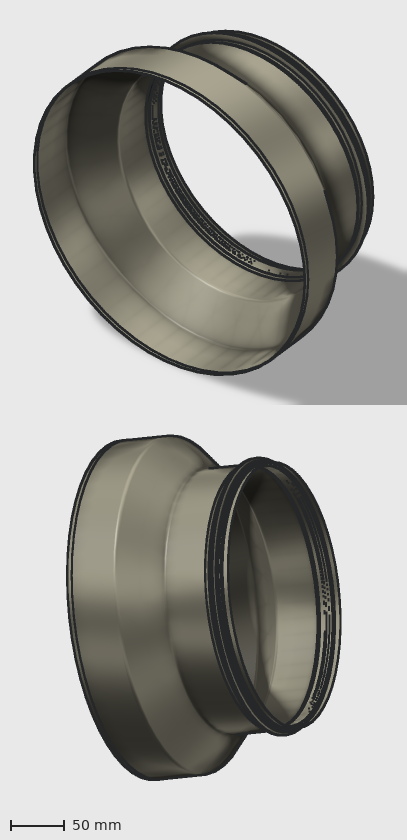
import cadquery as cq
import math

LENGTH = 149.0
WALL = 0.48
MOUTH_DIAMETER = 317.5
CUP_DIAMETER = 317.0
NECK_DIAMETER = 249.0
GROOVE_DIAMETER = 244.0
HEM_LENGTH = 4.8
CONE_ANGLE = math.radians(45)
BEND_RADIUS = 4.8

GROOVE_START = 5.7
GROOVE_FLOOR_START = 7.0
GROOVE_FLOOR_END = 21.0
GROOVE_END = 23.5
CONE_START = 65.0

SEAL_DIAMETER = 245.5
SEAL_END = 20.0
SHOULDER_DIAMETER = 250.8
SMALL_LIP_DIAMETER = 254.3
SMALL_LIP_START = 9.2
SMALL_LIP_THICKNESS = 1.3
LARGE_LIP_DIAMETER = 259.5
LARGE_LIP_START = 13.3
LARGE_LIP_THICKNESS = 2.0

mouth_end_y = -LENGTH / 2
neck_end_y = LENGTH / 2
neck_radius = NECK_DIAMETER / 2
groove_radius = GROOVE_DIAMETER / 2
cup_radius = CUP_DIAMETER / 2
cone_length = (cup_radius - neck_radius) / math.tan(CONE_ANGLE)


def at(distance):
    """Y coordinate of a distance from the neck end."""
    return neck_end_y - distance


def revolve_profile(profile):
    """Close a radius-Y profile and turn it about the Y axis."""
    return profile.close().revolve(360, (0, 0, 0), (0, 1, 0))


def bend_point(center, radius, angle):
    """Point on a bend arc, with the angle measured from the radial direction."""
    return (center[0] + radius * math.cos(angle), center[1] + radius * math.sin(angle))


def shell_core(inset):
    """Solid bounded by the reducer outer face moved inward by inset."""
    inner_bend = BEND_RADIUS
    outer_bend = BEND_RADIUS + WALL
    tangent_neck = inner_bend * math.tan(CONE_ANGLE / 2)
    tangent_cup = outer_bend * math.tan(CONE_ANGLE / 2)
    neck_center = (neck_radius + inner_bend, at(CONE_START - tangent_neck))
    cup_center = (cup_radius - outer_bend, at(CONE_START + cone_length + tangent_cup))
    neck_arc = inner_bend + inset
    cup_arc = outer_bend - inset

    profile = (
        cq.Workplane("XY")
        .moveTo(0, neck_end_y)
        .lineTo(neck_radius - inset, neck_end_y)
        .lineTo(neck_radius - inset, at(GROOVE_START))
        .lineTo(groove_radius - inset, at(GROOVE_FLOOR_START))
        .lineTo(groove_radius - inset, at(GROOVE_FLOOR_END))
        .lineTo(neck_radius - inset, at(GROOVE_END))
        .lineTo(*bend_point(neck_center, neck_arc, math.pi))
        .threePointArc(
            bend_point(neck_center, neck_arc, math.pi + CONE_ANGLE / 2),
            bend_point(neck_center, neck_arc, math.pi + CONE_ANGLE),
        )
        .lineTo(*bend_point(cup_center, cup_arc, CONE_ANGLE))
        .threePointArc(
            bend_point(cup_center, cup_arc, CONE_ANGLE / 2),
            bend_point(cup_center, cup_arc, 0),
        )
        .lineTo(cup_radius - inset, mouth_end_y)
        .lineTo(0, mouth_end_y)
    )
    return revolve_profile(profile)


def make_hem():
    """Slightly thicker band around the mouth."""
    return (
        cq.Workplane("XZ", origin=(0, mouth_end_y, 0))
        .circle(MOUTH_DIAMETER / 2)
        .circle(cup_radius - WALL)
        .extrude(-HEM_LENGTH)
    )


def make_reducer():
    """Neck, cone and cup of constant wall, with the hem at the mouth."""
    return shell_core(0).cut(shell_core(WALL)).union(make_hem())


def make_seal():
    """Band on the groove floor carrying a small and a large lip."""
    band_radius = SEAL_DIAMETER / 2
    shoulder_radius = SHOULDER_DIAMETER / 2
    small_lip_radius = SMALL_LIP_DIAMETER / 2
    large_lip_radius = LARGE_LIP_DIAMETER / 2
    small_lip_end = SMALL_LIP_START + SMALL_LIP_THICKNESS
    large_lip_end = LARGE_LIP_START + LARGE_LIP_THICKNESS
    profile = cq.Workplane("XY").polyline([
        (groove_radius, at(GROOVE_FLOOR_START)),
        (shoulder_radius, at(GROOVE_FLOOR_START)),
        (shoulder_radius, at(SMALL_LIP_START)),
        (small_lip_radius, at(SMALL_LIP_START)),
        (small_lip_radius, at(small_lip_end)),
        (band_radius, at(small_lip_end)),
        (band_radius, at(LARGE_LIP_START)),
        (large_lip_radius, at(LARGE_LIP_START)),
        (large_lip_radius, at(large_lip_end)),
        (band_radius, at(large_lip_end)),
        (band_radius, at(SEAL_END)),
        (groove_radius, at(SEAL_END)),
    ])
    return revolve_profile(profile)


reducer = make_reducer()
seal = make_seal()

result = cq.Compound.makeCompound([reducer.val(), seal.val()])